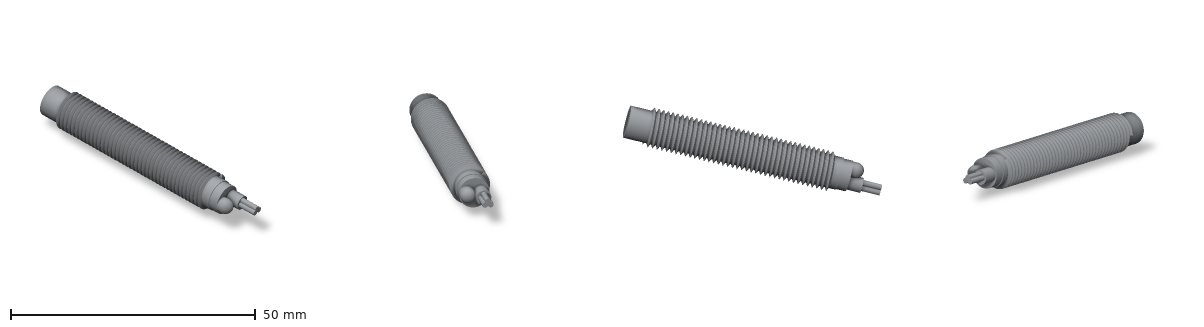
import cadquery as cq

total_length = 54.0
sleeve_length = 44.0
collar_end = 45.0
plug_end = 47.0
cable_end = 50.0
lamp_straight_end = 48.0

sleeve_radius = 6.75 / 2
thread_radius = 8.25 / 2
thread_length = 38.8
thread_turns = 39 + 1 / 8
thread_pitch = thread_length / thread_turns
thread_start = 4.45
tooth_base_width = 0.9
tooth_root_overlap = 0.1

collar_radius = sleeve_radius
plug_radius = 6.4 / 2
lamp_radius = 1.6
lamp_y = lamp_radius - plug_radius
cable_radius = 1.55
cable_y = 1.35
wire_radius = 0.6
upper_wire_z = 0.7

wire_centers = [
    (cable_y - wire_radius, 0),
    (cable_y + wire_radius, 0),
    (cable_y, upper_wire_z),
]


def rod(radius, start, end, y=0, z=0):
    """A cylinder parallel to X."""
    return cq.Workplane("YZ", origin=(start, y, z)).circle(radius).extrude(end - start)


def make_thread():
    """Right-handed helical tooth around X, starting on the +Y side."""
    root_radius = sleeve_radius - tooth_root_overlap
    helix = cq.Wire.makeHelix(thread_pitch, thread_length, sleeve_radius)
    tooth = (
        cq.Workplane("XZ")
        .moveTo(root_radius, -tooth_base_width / 2)
        .lineTo(root_radius, tooth_base_width / 2)
        .lineTo(thread_radius, 0)
        .close()
    )
    thread = tooth.sweep(cq.Workplane(helix), isFrenet=True)
    thread = thread.rotate((0, 0, 0), (0, 0, 1), 90)
    thread = thread.rotate((0, 0, 0), (0, 1, 0), 90)
    return thread.translate((thread_start, 0, 0))


def make_sleeve():
    return rod(sleeve_radius, 0, sleeve_length).union(make_thread())


def make_lamp():
    dome = cq.Workplane("XY", origin=(lamp_straight_end, lamp_y, 0)).sphere(lamp_radius)
    return rod(lamp_radius, plug_end, lamp_straight_end, lamp_y).union(dome)


def make_rear_plug():
    plug = rod(collar_radius, sleeve_length, collar_end)
    plug = plug.union(rod(plug_radius, collar_end, plug_end))
    plug = plug.union(rod(cable_radius, plug_end, cable_end, cable_y))
    for y, z in wire_centers:
        plug = plug.union(rod(wire_radius, cable_end, total_length, y, z))
    return plug.union(make_lamp())


sleeve = make_sleeve()
rear_plug = make_rear_plug()

result = cq.Compound.makeCompound([sleeve.val(), rear_plug.val()])